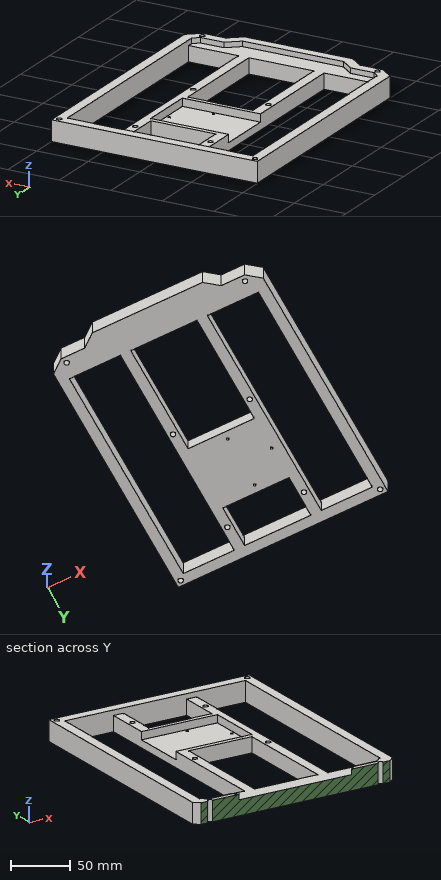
import cadquery as cq

width = 200.0
length = 250.0
height = 20.0
wall = 10.0
half_width = width / 2
back_y = length / 2
front_y = -length / 2

shoulder_y = front_y + 10.0
side_end_y = shoulder_y + 10.0
shoulder_outer_x = 87.5
shoulder_inner_x = 65.0
nose_half_width = 52.5

inner_drop = 5.0
inner_height = height - inner_drop
deck_edge_y = -94.8
rail_outer_x = 41.5
rail_width = 10.0
rail_inner_x = rail_outer_x - rail_width
inner_back_y = back_y - wall

pocket_front_y = 15.2
pocket_length = 55.0
pocket_back_y = pocket_front_y + pocket_length
pocket_center_y = pocket_front_y + pocket_length / 2
pocket_right_x = 34.2
tray_wall = 4.5
pocket_depth = 7.5

frame_hole_diameter = 4.5
corner_hole_inset = 5.0
front_hole_x = 85.0
front_hole_y = -109.5
rail_hole_x = rail_outer_x - rail_width / 2
rail_hole_spacing = 100.0
rail_hole_center_y = pocket_center_y
tray_hole_diameter = 2.0
tray_hole_inset = 2.8
tray_hole_x = 2.5


def box(x_min, x_max, y_min, y_max, z_min, z_max):
    """Axis-aligned block between the given limits."""
    block = cq.Workplane("XY").box(x_max - x_min, y_max - y_min, z_max - z_min, centered=False)
    return block.translate((x_min, y_min, z_min))


def drill(part, points, diameter):
    """Cut round holes through the full height at each point."""
    drills = cq.Workplane("XY").pushPoints(points).circle(diameter / 2).extrude(height)
    return part.cut(drills)


right_outline = [
    (half_width, back_y),
    (half_width, side_end_y),
    (shoulder_outer_x, shoulder_y),
    (shoulder_inner_x, shoulder_y),
    (nose_half_width, front_y),
]
left_outline = [(-x, y) for x, y in reversed(right_outline)]


def draw_outline():
    """Closed outer outline on the bottom plane."""
    return cq.Workplane("XY").polyline(right_outline + left_outline).close()


body = draw_outline().extrude(height)

inside = draw_outline().offset2D(-wall, "intersection").extrude(height)
body = body.cut(inside.translate((0, 0, inner_height)))

opening_x = half_width - wall
for x_min, x_max in [(-opening_x, -rail_outer_x), (rail_outer_x, opening_x)]:
    body = body.cut(box(x_min, x_max, deck_edge_y, inner_back_y, 0, height))

center_openings = [
    (deck_edge_y, pocket_front_y - tray_wall),
    (pocket_back_y + tray_wall, inner_back_y),
]
for y_min, y_max in center_openings:
    body = body.cut(box(-rail_inner_x, rail_inner_x, y_min, y_max, 0, height))

pocket_floor_z = inner_height - pocket_depth
body = body.cut(
    box(-rail_outer_x, pocket_right_x, pocket_front_y, pocket_back_y, pocket_floor_z, height)
)

frame_holes = []
for side in (-1, 1):
    frame_holes.append((side * (half_width - corner_hole_inset), back_y - corner_hole_inset))
    frame_holes.append((side * front_hole_x, front_hole_y))
    for end in (-1, 1):
        rail_hole_y = rail_hole_center_y + end * rail_hole_spacing / 2
        frame_holes.append((side * rail_hole_x, rail_hole_y))
body = drill(body, frame_holes, frame_hole_diameter)

tray_holes = [
    (tray_hole_x, pocket_back_y - tray_hole_inset),
    (tray_hole_x, pocket_front_y + tray_hole_inset),
    (pocket_right_x - tray_hole_inset, pocket_center_y),
]
result = drill(body, tray_holes, tray_hole_diameter)